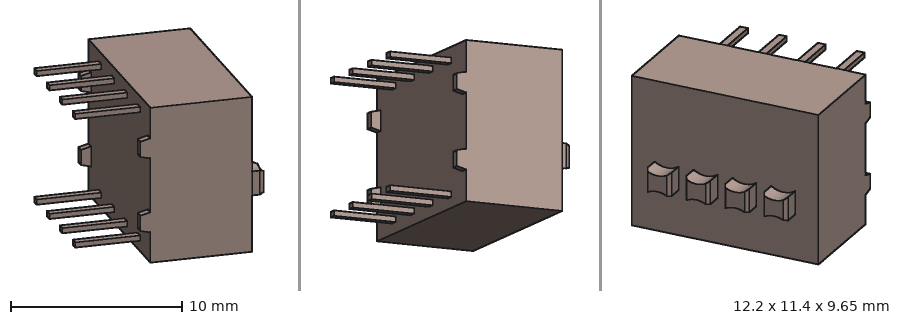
import cadquery as cq

body_width = 12.19
body_depth = 6.23
body_height = 9.65

position_count = 4
pitch = 2.54

pin_width = 0.51
pin_thickness = 0.33
pin_length = 3.96
pin_row_spacing = 8.01

foot_width = 0.51
foot_length = 0.61
foot_base_height = 1.25
foot_tip_height = 0.95
foot_spacing = 4.61

actuator_width = 1.56
actuator_height = 1.51
actuator_length = 1.24
actuator_drop = 1.15
actuator_hollow = 0.24
bevel_width = 0.16
bevel_length = 0.29

front_y = -body_depth / 2
back_y = body_depth / 2
position_xs = [(i - (position_count - 1) / 2) * pitch for i in range(position_count)]


def make_pin(x, z):
    """Flat pin running out of the -Y face."""
    return cq.Workplane("XY").box(pin_width, pin_length, pin_thickness).translate(
        (x, front_y - pin_length / 2, z)
    )


def make_foot(left_x, z):
    """Foot on the -Y face, with a trapezoid profile in the YZ plane."""
    base = foot_base_height / 2
    tip = foot_tip_height / 2
    tip_y = front_y - foot_length
    profile = [(front_y, -base), (front_y, base), (tip_y, tip), (tip_y, -tip)]
    return cq.Workplane("YZ").polyline(profile).close().extrude(foot_width).translate((left_x, 0, z))


def make_actuator(x):
    """Actuator standing on the +Y face."""
    half_width = actuator_width / 2
    half_height = actuator_height / 2
    hollow_z = half_height - actuator_hollow
    tip_y = back_y + actuator_length
    bevel_y = tip_y - bevel_length
    tip_x = half_width - bevel_width

    section = (
        cq.Workplane("XZ", origin=(0, back_y, 0))
        .moveTo(-half_width, half_height)
        .threePointArc((0, hollow_z), (half_width, half_height))
        .lineTo(half_width, -half_height)
        .threePointArc((0, -hollow_z), (-half_width, -half_height))
        .close()
        .extrude(-actuator_length)
    )
    outline = [
        (-half_width, back_y),
        (-half_width, bevel_y),
        (-tip_x, tip_y),
        (tip_x, tip_y),
        (half_width, bevel_y),
        (half_width, back_y),
    ]
    bevelled = (
        cq.Workplane("XY")
        .polyline(outline)
        .close()
        .extrude(half_height, both=True)
    )
    return section.intersect(bevelled).translate((x, 0, -actuator_drop))


result = cq.Workplane("XY").box(body_width, body_depth, body_height)

for position_x in position_xs:
    result = result.union(make_actuator(position_x))
    for pin_z in (-pin_row_spacing / 2, pin_row_spacing / 2):
        result = result.union(make_pin(position_x, pin_z))

for foot_x in (-body_width / 2, body_width / 2 - foot_width):
    for foot_z in (-foot_spacing / 2, foot_spacing / 2):
        result = result.union(make_foot(foot_x, foot_z))